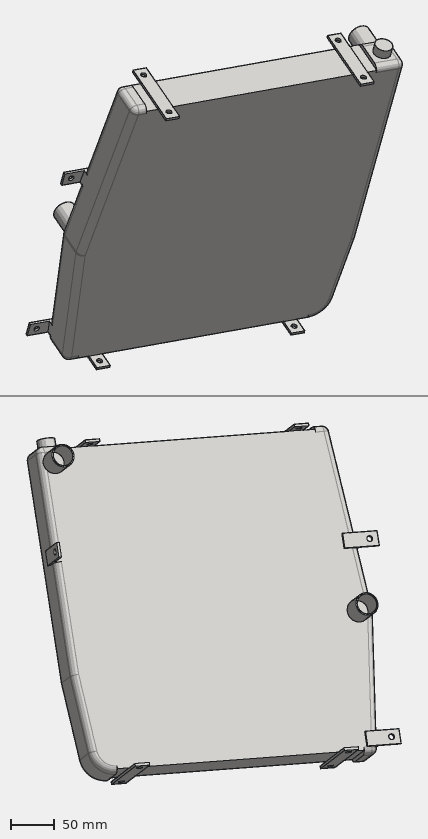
import cadquery as cq

LEAN_ANGLE = 25.0

DEPTH = 45.0
CORE_WIDTH = 300.2
CORE_HEIGHT = 377.5

TANK_HEIGHT = 386.7
TANK_EDGE_RADIUS = 8.0
LEFT_TANK_WIDTH = 37.0
LEFT_BEND_Z = -76.0
LEFT_TAPER = 10.0
LEFT_BOTTOM_RADIUS = 29.0
RIGHT_TANK_TOP_WIDTH = 17.5
RIGHT_TANK_PEAK_WIDTH = 37.5
RIGHT_TANK_BOTTOM_WIDTH = 16.0
PEAK_Z = -26.0

PIPE_DIAMETER = 26.5
PIPE_WALL = 1.5
PIPE_LENGTH = 31.2
UPPER_PIPE_Y = 169.5
UPPER_PIPE_Z = 173.0
LOWER_PIPE_Y = -168.3

NECK_DIAMETER = 21.0
NECK_HEIGHT = 11.5
NECK_Y = 167.0

PLATE_THICKNESS = 3.0
PLATE_WIDTH = 17.5
BOLT_HOLE_DIAMETER = 6.7
STRAP_LENGTH = 85.5
STRAP_HOLE_SPACING = 64.8
STRAP_SPACING = 254.0
TAB_HOLE_INSET = 10.3
SIDE_TAB_LENGTH = 40.0
SIDE_TAB_REACH = 23.7
SIDE_TAB_Z = 65.5
UPPER_TAB_LENGTH = 42.0
UPPER_TAB_END_Y = -204.5
UPPER_TAB_Z = 56.0
LOWER_TAB_LENGTH = 40.5
LOWER_TAB_END_Y = -194.5
LOWER_TAB_Z = -176.0

front_x = -DEPTH / 2
core_side = CORE_WIDTH / 2
core_top = CORE_HEIGHT / 2
tank_top = TANK_HEIGHT / 2
left_side = core_side + LEFT_TANK_WIDTH


def block(x_range, y_range, z_range):
    """Box between the given limits on each axis."""
    spans = (x_range, y_range, z_range)
    sizes = [high - low for low, high in spans]
    lows = [low for low, high in spans]
    return cq.Workplane("XY").box(*sizes, centered=False).translate(tuple(lows))


def height_band(z):
    """Z limits of a tab centred at height z."""
    return (z - PLATE_WIDTH / 2, z + PLATE_WIDTH / 2)


def tank(outline, corner_radii, core_face, tab_heights):
    """Extrude a Y-Z outline through the depth and round its edges, except those on the core face.

    Behind each tab the front edge stays square.
    """
    square = cq.Workplane("YZ", origin=(front_x, 0, 0)).polyline(outline).close().extrude(DEPTH)
    body = square
    for (y, z), radius in corner_radii:
        corner = cq.selectors.NearestToPointSelector((0, y, z))
        body = body.edges("|X").edges(corner).fillet(radius)
    body = body.faces("<X or >X").edges(f"not {core_face}").fillet(TANK_EDGE_RADIUS)
    widths = [y for y, z in outline]
    for z in tab_heights:
        front_strip = block(
            (front_x, front_x + TANK_EDGE_RADIUS), (min(widths), max(widths)), height_band(z)
        )
        body = body.union(square.intersect(front_strip))
    return body


def left_tank():
    """Straight-sided +Y tank that tapers to a large lower corner."""
    top = (left_side, tank_top)
    bend = (left_side, LEFT_BEND_Z)
    bottom = (left_side - LEFT_TAPER, -tank_top)
    outline = [(core_side, tank_top), top, bend, bottom, (core_side, -tank_top)]
    radii = [(top, TANK_EDGE_RADIUS), (bottom, LEFT_BOTTOM_RADIUS)]
    return tank(outline, radii, "<Y", [SIDE_TAB_Z])


def right_tank():
    """Peaked -Y tank, widest at the height of the lower pipe."""
    top = (-core_side - RIGHT_TANK_TOP_WIDTH, tank_top)
    peak = (-core_side - RIGHT_TANK_PEAK_WIDTH, PEAK_Z)
    bottom = (-core_side - RIGHT_TANK_BOTTOM_WIDTH, -tank_top)
    outline = [(-core_side, tank_top), top, peak, bottom, (-core_side, -tank_top)]
    radii = [(corner, TANK_EDGE_RADIUS) for corner in (top, peak, bottom)]
    return tank(outline, radii, ">Y", [UPPER_TAB_Z, LOWER_TAB_Z])


def pipe(y, z):
    """Hose pipe standing forward of the front face, with its bore closed at that face."""
    front_plane = cq.Workplane("YZ", origin=(front_x, y, z))
    root = front_plane.circle(PIPE_DIAMETER / 2).extrude(DEPTH / 2)
    tube = front_plane.circle(PIPE_DIAMETER / 2)
    tube = tube.circle(PIPE_DIAMETER / 2 - PIPE_WALL).extrude(-PIPE_LENGTH)
    return root.union(tube)


def filler_neck():
    """Short round neck on top of the left tank."""
    neck = cq.Workplane("XY", origin=(0, NECK_Y, tank_top)).circle(NECK_DIAMETER / 2)
    return neck.extrude(NECK_HEIGHT)


def strap(y, z):
    """Strap across the depth at height z, overhanging front and back with a bolt hole in each end."""
    plate = cq.Workplane("XY", origin=(0, y, z)).box(STRAP_LENGTH, PLATE_WIDTH, PLATE_THICKNESS)
    holes = plate.faces(">Z").workplane().rarray(STRAP_HOLE_SPACING, 4, 2, 1)
    return holes.hole(BOLT_HOLE_DIAMETER)


def front_tab(end_y, length, z):
    """Tab flat on the front of the right tank, reaching out to -Y."""
    plate_front = front_x - PLATE_THICKNESS
    plate = block((plate_front, front_x), (end_y, end_y + length), height_band(z))
    bore = cq.Workplane("YZ", origin=(plate_front, end_y + TAB_HOLE_INSET, z))
    return plate.cut(bore.circle(BOLT_HOLE_DIAMETER / 2).extrude(PLATE_THICKNESS))


def side_tab():
    """Tab flat on the outer side of the left tank, pointing forward."""
    end_x = front_x - SIDE_TAB_REACH
    x_range = (end_x, end_x + SIDE_TAB_LENGTH)
    plate = block(x_range, (left_side, left_side + PLATE_THICKNESS), height_band(SIDE_TAB_Z))
    bore = cq.Workplane("XZ", origin=(end_x + TAB_HOLE_INSET, left_side, SIDE_TAB_Z))
    return plate.cut(bore.circle(BOLT_HOLE_DIAMETER / 2).extrude(-PLATE_THICKNESS))


radiator = cq.Workplane("XY").box(DEPTH, CORE_WIDTH, CORE_HEIGHT)
radiator = radiator.union(left_tank()).union(right_tank())
radiator = radiator.union(pipe(UPPER_PIPE_Y, UPPER_PIPE_Z)).union(pipe(LOWER_PIPE_Y, PEAK_Z))
radiator = radiator.union(filler_neck())

strap_z = core_top + PLATE_THICKNESS / 2
for y in (-STRAP_SPACING / 2, STRAP_SPACING / 2):
    for z in (-strap_z, strap_z):
        radiator = radiator.union(strap(y, z))

radiator = radiator.union(side_tab())
radiator = radiator.union(front_tab(UPPER_TAB_END_Y, UPPER_TAB_LENGTH, UPPER_TAB_Z))
radiator = radiator.union(front_tab(LOWER_TAB_END_Y, LOWER_TAB_LENGTH, LOWER_TAB_Z))

result = radiator.rotate((0, 0, 0), (0, 1, 0), LEAN_ANGLE)